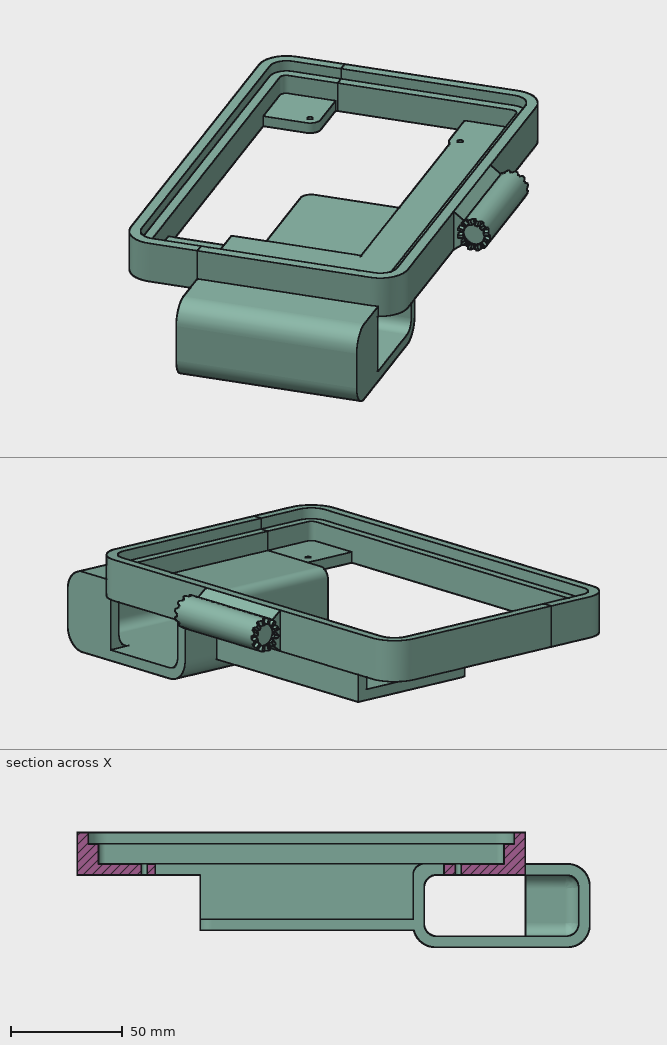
import cadquery as cq
wall = 5.0
frame_width = 131.0
frame_length = 200.1
frame_height = 19.0
frame_corner = 13.0
ledge_inset = 5.0
bore_inset = 9.6
ledge_corner = frame_corner - ledge_inset
bore_corner = 3.0
ledge_depth = 5.0
split_x = 36.0

hole_inset = 30.0
hole_diameter = 2.5
tab_margin = 5.0
tab_reach = hole_inset + tab_margin
front_tab_reach = 36.5

opening_right = 97.3
opening_front = 45.0

loop_front = -28.9
loop_bottom = -32.3
loop_back = 50.2
loop_right = frame_width - bore_inset
loop_inner_radius = 5.5
loop_outer_radius = 10.0
pocket_fillet = 6.0

shelf_bottom = -24.7
shelf_back = 145.2
shelf_corner = 5.0
strap_left = 87.7
strap_width = 5.3
strap_front = 65.7
strap_length = 51.3

barrel_radius = 7.5
barrel_length = 50.0
barrel_x = 140.8
barrel_core_radius = 5.0
tooth_count = 12
tooth_height = 1.5
tooth_root_width = 2.7
tooth_tip_width = 1.1
web_reach = 136.3
web_half_height = 5.5
barrel_y = frame_length / 2
barrel_z = frame_height / 2


def block(x0, x1, y0, y1, z0, z1):
    """Box between two opposite corners."""
    return cq.Workplane("XY").box(x1 - x0, y1 - y0, z1 - z0, centered=False).translate((x0, y0, z0))


def rounded_block(inset, corner, z0, z1):
    """Frame outline moved inwards by an inset, with rounded vertical edges."""
    body = block(inset, frame_width - inset, inset, frame_length - inset, z0, z1)
    return body.edges("|Z").fillet(corner)


def make_rim():
    """Rectangular ring with a step around its upper inner edge."""
    rim = rounded_block(0, frame_corner, 0, frame_height)
    rim = rim.cut(rounded_block(bore_inset, bore_corner, 0, frame_height))
    return rim.cut(rounded_block(ledge_inset, ledge_corner, frame_height - ledge_depth, frame_height))


def rim_part(x0, x1):
    """Stretch of the rim between two X planes."""
    return make_rim().intersect(block(x0, x1, 0, frame_length, 0, frame_height))


def floor_plate(x0, x1, y0, y1):
    """Piece of tray floor, trimmed to the outline of the frame."""
    return block(x0, x1, y0, y1, 0, wall).intersect(rounded_block(0, frame_corner, 0, wall))


def drill_screw_holes(body):
    """Screw holes through the tray floor, one near each frame corner."""
    for x in (hole_inset, frame_width - hole_inset):
        for y in (hole_inset, frame_length - hole_inset):
            hole = cq.Workplane("XY").center(x, y).circle(hole_diameter / 2).extrude(wall)
            body = body.cut(hole)
    return body


def rear_tab(x0, x1, free_edge):
    """Tab at the back of the frame with its free corner rounded."""
    tab = block(x0, x1, frame_length - tab_reach, frame_length - ledge_inset, 0, wall)
    return tab.edges("|Z").edges("<Y").edges(free_edge).fillet(tab_margin)


def make_left_frame():
    """Left part of the frame with its two screw tabs."""
    body = rim_part(0, split_x)
    body = body.union(rear_tab(ledge_inset, tab_reach, ">X"))
    body = body.union(floor_plate(ledge_inset, split_x, ledge_inset, front_tab_reach))
    return drill_screw_holes(body)


def loop_prism(inset, radius, x0, x1):
    """Rounded bar along X with the outline of the loop moved inwards by an inset."""
    bar = block(x0, x1, loop_front + inset, loop_back - inset, loop_bottom + inset, wall - inset)
    return bar.edges("|X").fillet(radius)


def make_rear_corner():
    """Tighter rounding where the loop meets the tray floor at the edge of the opening."""
    corner = block(split_x, loop_right, loop_back - loop_outer_radius, loop_back, wall - loop_outer_radius, wall)
    return corner.edges("|X").edges(">Z").edges(">Y").fillet(wall)


def make_loop():
    """Handle loop, open sideways under the frame and closed at the right in front of it."""
    loop = loop_prism(0, loop_outer_radius, split_x, loop_right)
    loop = loop.union(make_rear_corner())
    loop = loop.cut(loop_prism(wall, loop_inner_radius, split_x, loop_right))
    end_wall = loop_prism(wall, loop_inner_radius, split_x, loop_right)
    pocket = loop_prism(wall, loop_inner_radius, split_x, loop_right - wall)
    pocket = pocket.faces(">X").edges().fillet(pocket_fillet)
    front_half = block(split_x, loop_right, loop_front, 0, loop_bottom, wall)
    return loop.union(end_wall.cut(pocket).intersect(front_half))


def make_shelf():
    """Shelf hanging below the opening, with one side wall and a strap slot."""
    right = opening_right + wall
    floor = block(split_x, right, loop_back - wall, shelf_back, shelf_bottom, shelf_bottom + wall)
    floor = floor.edges("|Z").edges(">Y").edges("<X").fillet(shelf_corner)
    side = block(opening_right, right, loop_back - wall, shelf_back, shelf_bottom, wall)
    slot = block(strap_left, strap_left + strap_width, strap_front, strap_front + strap_length,
                 shelf_bottom, shelf_bottom + wall)
    return floor.union(side).cut(slot)


def make_teeth():
    """Ring of radial trapezoid teeth standing on the plane Y = 0 and pointing to +Y."""
    half_root = tooth_root_width / 2
    half_tip = tooth_tip_width / 2
    profile = [(-half_root, 0), (-half_tip, tooth_height), (half_tip, tooth_height), (half_root, 0)]
    bar = cq.Workplane("XY").polyline(profile).close().extrude(barrel_radius)
    ring = cq.Workplane("XZ").circle(barrel_radius).circle(barrel_core_radius).extrude(-tooth_height)
    pitch = 360 / tooth_count
    teeth = []
    for index in range(tooth_count):
        turned_bar = bar.rotate((0, 0, 0), (0, 1, 0), (index + 0.5) * pitch)
        teeth.append(turned_bar.intersect(ring))
    return teeth


def make_barrel():
    """Hinge barrel along Y with face teeth on both ends, and the web that carries it."""
    start = barrel_y - barrel_length / 2
    end = barrel_y + barrel_length / 2
    plane = cq.Workplane("XZ", origin=(barrel_x, end, barrel_z))
    barrel = plane.circle(barrel_radius).extrude(barrel_length)
    web = (
        cq.Workplane("XZ", origin=(0, end, 0))
        .moveTo(frame_width, 0)
        .lineTo(web_reach, barrel_z - web_half_height)
        .lineTo(web_reach, barrel_z + web_half_height)
        .lineTo(frame_width, frame_height)
        .close()
        .extrude(barrel_length)
    )
    barrel = barrel.union(web)
    for tooth in make_teeth():
        barrel = barrel.union(tooth.translate((barrel_x, end, barrel_z)))
        barrel = barrel.union(tooth.mirror("XZ").translate((barrel_x, start, barrel_z)))
    return barrel


def make_right_frame():
    """Right part of the frame with tray floor, handle loop, shelf and hinge barrel."""
    body = rim_part(split_x, frame_width)
    body = body.union(floor_plate(split_x, frame_width - ledge_inset, ledge_inset, opening_front))
    body = body.union(floor_plate(opening_right, frame_width - ledge_inset, ledge_inset,
                                  frame_length - ledge_inset))
    body = body.union(rear_tab(frame_width - tab_reach, frame_width - ledge_inset, "<X"))
    for piece in (make_loop(), make_shelf(), make_barrel()):
        body = body.union(piece)
    return drill_screw_holes(body)


left_frame = make_left_frame()
right_frame = make_right_frame()
result = cq.Compound.makeCompound([left_frame.val(), right_frame.val()])